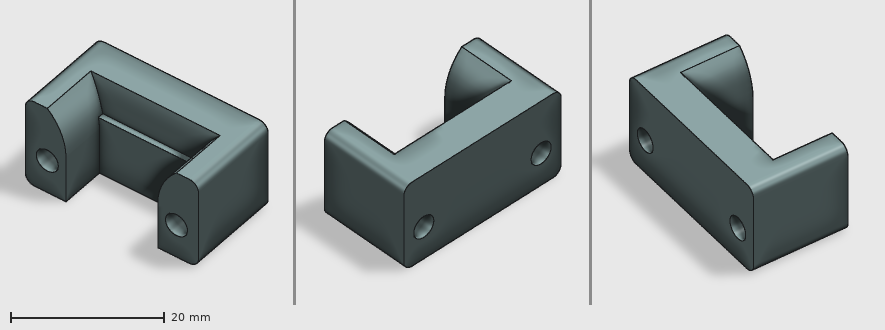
import cadquery as cq
import math

length = 28.4
depth = 15.0
height = 14.5
corner_radius = 1.5

hole_diameter = 3.6
hole_spacing = 21.2
hole_height = 5.5

slot_width = 15.05
slot_depth = 7.19
flared_width = 21.2
side_flare_start = 7.67

ledge_height = 9.5
ledge_depth = 0.97
flared_depth = 9.37


def arc_middle_offset(run, rise):
    """Run and rise at the middle of an arc that starts out vertical and ends at (run, rise)."""
    radius = (run**2 + rise**2) / (2 * run)
    half_angle = math.asin(rise / radius) / 2
    return radius * (1 - math.cos(half_angle)), radius * math.sin(half_angle)


def make_block():
    return (
        cq.Workplane("XY")
        .box(length, depth, height, centered=(True, False, False))
        .edges("|Y")
        .fillet(corner_radius)
    )


def make_flared_channel(channel_depth):
    """Channel from the front face, with side walls that curve outward at the top."""
    half_slot = slot_width / 2
    half_flare = flared_width / 2
    run, rise = arc_middle_offset(half_flare - half_slot, height - side_flare_start)
    middle_x = half_slot + run
    middle_z = side_flare_start + rise
    return (
        cq.Workplane("XZ")
        .moveTo(-half_slot, 0)
        .lineTo(half_slot, 0)
        .lineTo(half_slot, side_flare_start)
        .threePointArc((middle_x, middle_z), (half_flare, height))
        .lineTo(-half_flare, height)
        .threePointArc((-middle_x, middle_z), (-half_slot, side_flare_start))
        .close()
        .extrude(-channel_depth)
    )


def make_back_curve():
    """Space above the ledge, bounded behind by a wall that curves backward at the top."""
    wall_foot = slot_depth + ledge_depth
    run, rise = arc_middle_offset(flared_depth - wall_foot, height - ledge_height)
    return (
        cq.Workplane("YZ")
        .moveTo(0, ledge_height)
        .lineTo(wall_foot, ledge_height)
        .threePointArc((wall_foot + run, ledge_height + rise), (flared_depth, height))
        .lineTo(0, height)
        .close()
        .extrude(flared_width / 2, both=True)
    )


def make_holes():
    return (
        cq.Workplane("XZ")
        .pushPoints([(side * hole_spacing / 2, hole_height) for side in (-1, 1)])
        .circle(hole_diameter / 2)
        .extrude(-depth)
    )


slot = make_flared_channel(slot_depth)
ledge_pocket = make_flared_channel(flared_depth).intersect(make_back_curve())

result = make_block().cut(slot).cut(ledge_pocket).cut(make_holes())